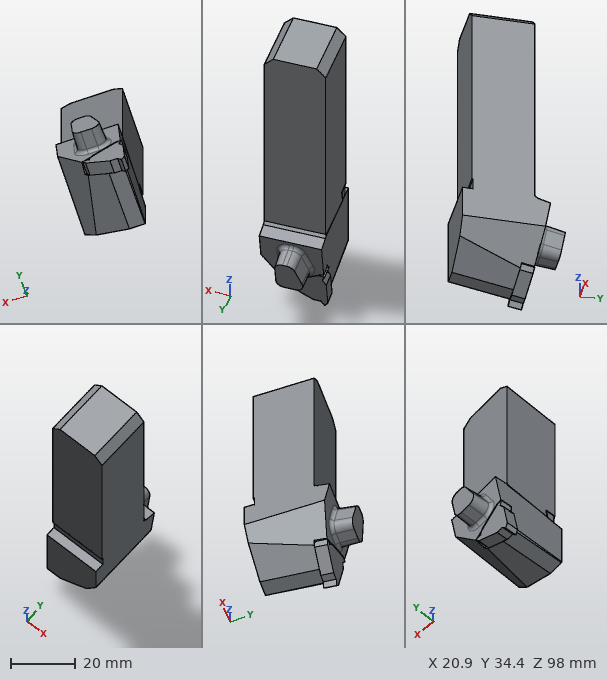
import cadquery as cq
import math

shank = 20.0
height = 98.0
top_chamfer = 2.9

head_front = -2.9
head_top = 29.1
flare_top = 29.6
shoulder_y = 21.0
shoulder_z = 28.8
peak_y = 25.0
peak_z = 27.6
left_at_front = 0.2
left_at_back = -0.3
corner_cut_top = 18.5
corner_cut_x = 15.9
corner_cut_z = 12.6

tilt = 10.0
seat_w = 15.7
back_w = 20.0
tolerance = 0.01
reach = 58.8

bottom_v = 6.3
bottom_right_u = 5.5
bottom_bevel = 0.7

insert_left = -0.9
insert_side = 16.9
tip_from_left = 1.1
tip_from_corner = 0.9
flank_start = 2.5
notch_u = 2.3
notch_v = 2.6
shoulder_u = 4.7
tip_v = back_w * math.tan(math.radians(tilt))
corner_v = tip_v - tip_from_corner
slope = math.tan(math.radians(30))

boss_outer_w = 26.9
boss_top_v = 29.3
boss_bottom_v = 17.4
boss_top_left = 6.8
boss_bottom_left = 2.45
boss_right = 13.3
boss_radius = 3.0
boss_root_w = 19.4
boss_taper = 3.0
boss_fillet = 1.3

groove_depth = 0.4
groove_top = 32.8
side_relief_depth = 0.2
side_relief_width = 3.7
side_relief_top = 33.2


def tilted(w):
    """Plane parallel to the insert seat, at distance w along its normal."""
    angle = math.radians(tilt)
    normal = (0, math.cos(angle), -math.sin(angle))
    origin = (0, w * normal[1], w * normal[2])
    return cq.Workplane(cq.Plane(origin=origin, xDir=(-1, 0, 0), normal=normal))


def tilted_outline(w, points):
    """Closed outline of (U, V) points on a tilted plane."""
    return tilted(w).polyline([(-u, v) for u, v in points]).close()


def make_shank():
    bar = cq.Workplane("XY").box(shank, shank, height - head_top, centered=False)
    bar = bar.translate((0, 0, head_top)).faces(">Z").edges("|Y").chamfer(top_chamfer)
    groove = cq.Workplane("XY").box(shank, groove_depth, groove_top - head_top, centered=False)
    bar = bar.cut(groove.translate((0, 0, head_top)))
    lean = math.tan(math.radians(tilt))
    rise = side_relief_top - head_top
    relief = (
        cq.Workplane("YZ")
        .polyline([
            (0, head_top),
            (side_relief_width - rise * lean, head_top),
            (side_relief_width, side_relief_top - side_relief_width * lean + groove_depth),
            (0, side_relief_top + groove_depth),
        ])
        .close()
        .extrude(side_relief_depth)
    )
    return bar.cut(relief)


def make_head():
    lean = math.tan(math.radians(tilt))
    back_foot_y = peak_y - peak_z * lean
    side = (
        cq.Workplane("YZ")
        .polyline([
            (head_front, 0), (head_front, head_top), (shank, head_top), (shank, flare_top),
            (shoulder_y, shoulder_z), (peak_y, peak_z), (back_foot_y, 0),
        ])
        .close()
        .extrude(shank - left_at_back)
        .translate((left_at_back, 0, 0))
    )
    skewed_plan = (
        cq.Workplane("XY")
        .polyline([(left_at_front, head_front), (shank, head_front),
                   (shank, peak_y), (left_at_back, peak_y)])
        .close()
        .extrude(reach)
    )
    corner_slope = (corner_cut_top - corner_cut_z) / (shank - corner_cut_x)
    corner_foot_x = shank - corner_cut_top / corner_slope
    corner = (
        cq.Workplane("XZ")
        .polyline([(shank, corner_cut_top), (shank, 0), (corner_foot_x, 0)])
        .close()
        .extrude(reach, both=True)
    )
    underside = tilted_outline(-reach / 2, [
        (left_at_back, bottom_v + bottom_bevel),
        (left_at_back + bottom_bevel, bottom_v),
        (bottom_right_u, bottom_v),
        (shank, bottom_v + (shank - bottom_right_u) * slope),
        (shank, reach),
        (left_at_back, reach),
    ]).extrude(reach)
    return side.intersect(skewed_plan).cut(corner).intersect(underside)


def make_boss():
    """Rounded four-sided boss, tapering away from the head."""
    upper = (-boss_top_left, boss_top_v), (-boss_right, boss_top_v)
    lower = (-boss_right, boss_bottom_v), (-boss_bottom_left, boss_bottom_v)
    wire = cq.Wire.makePolygon([cq.Vector(*point) for point in (*upper, *lower)], close=True)
    wire = wire.fillet2D(boss_radius, wire.Vertices())
    plane = tilted(boss_root_w).plane
    wire = wire.moved(cq.Location(plane))
    return cq.Workplane(plane).newObject([wire]).toPending().extrude(
        boss_outer_w - boss_root_w, taper=boss_taper
    )


def make_insert():
    """Triangle with the same pointed tooth at each of its three corners."""
    center_u = insert_left + insert_side * slope / 2
    center_v = corner_v + insert_side / 2
    tooth = [
        (0, flank_start),
        (tip_from_left, tip_from_corner),
        (notch_u, notch_v),
        (shoulder_u, shoulder_u * slope),
    ]
    points = []
    for turn in (0, 120, 240):
        c = math.cos(math.radians(turn))
        s = math.sin(math.radians(turn))
        for u, v in tooth:
            du = insert_left + u - center_u
            dv = corner_v + v - center_v
            points.append((center_u + du * c - dv * s, center_v + du * s + dv * c))
    return tilted_outline(seat_w, points).extrude(back_w - seat_w)


def make_pocket():
    """Open space below the pocket wall that backs the upper insert edge."""
    upper_corner_v = corner_v + insert_side
    outside_u = 2 * insert_left
    pocket_top = upper_corner_v - tip_from_corner
    wall_u = insert_left + tip_from_corner / slope
    return tilted_outline(seat_w, [
        (outside_u, 0),
        (outside_u, pocket_top),
        (wall_u, pocket_top),
        (shank, upper_corner_v - (shank - insert_left) * slope),
        (shank, 0),
    ]).extrude(reach)


def make_head_with_boss():
    """Head and clamp boss, blended by a fillet around the boss root."""
    head = make_head().union(make_boss())
    angle = math.radians(tilt)
    face_w = peak_y * math.cos(angle) - peak_z * math.sin(angle)
    root_edges = []
    for edge in head.edges().vals():
        middle = edge.Center()
        edge_w = middle.y * math.cos(angle) - middle.z * math.sin(angle)
        edge_v = middle.y * math.sin(angle) + middle.z * math.cos(angle)
        inside_u = boss_bottom_left < middle.x < boss_right + boss_fillet
        inside_v = boss_bottom_v - boss_fillet < edge_v < boss_top_v + boss_fillet
        if abs(edge_w - face_w) < tolerance and inside_u and inside_v:
            root_edges.append(edge)
    return head.newObject(root_edges).fillet(boss_fillet)


holder = make_shank().union(make_head_with_boss()).cut(make_pocket())
insert = make_insert()
result = cq.Compound.makeCompound([holder.val(), insert.val()])